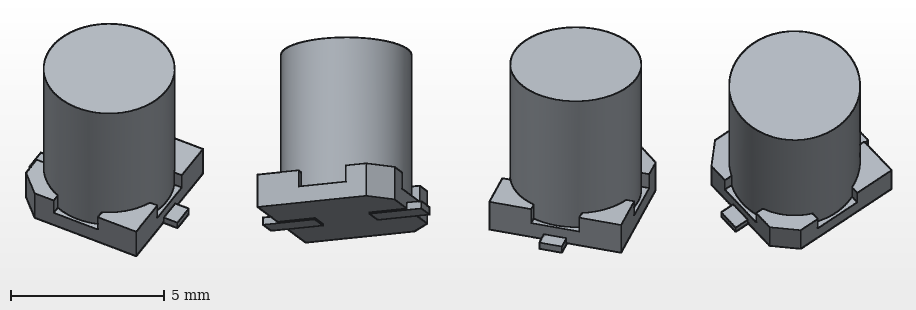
import cadquery as cq

total_height = 5.57
can_diameter = 4.275

base_size = 4.5
base_bottom = 0.05
base_top = 1.15
corner_chamfer = 0.72

channel_floor = 0.6
channel_width = 1.64

terminal_span = 5.51
terminal_gap = 1.9
terminal_width = 0.77
terminal_thickness = 0.25


def box(length, width, bottom, top):
    """Box centred on the Z axis between two heights."""
    return cq.Workplane("XY").workplane(offset=bottom).rect(length, width).extrude(top - bottom)


def make_base():
    """Square base with the two -X corners cut off and a cross of channels."""
    base = box(base_size, base_size, base_bottom, base_top)
    base = base.faces("<X").edges("|Z").chamfer(corner_chamfer)
    base = base.cut(box(base_size, channel_width, channel_floor, base_top))
    return base.cut(box(channel_width, base_size, channel_floor, base_top))


def make_can():
    """Round can standing on the channel floor."""
    can = cq.Workplane("XY").workplane(offset=channel_floor).circle(can_diameter / 2)
    return can.extrude(total_height - channel_floor)


def make_terminals():
    """Pair of flat strips along X, set into the underside of the base."""
    strip = box(terminal_span, terminal_width, 0, terminal_thickness)
    return strip.cut(box(terminal_gap, terminal_width, 0, terminal_thickness))


result = make_base().union(make_can()).union(make_terminals())